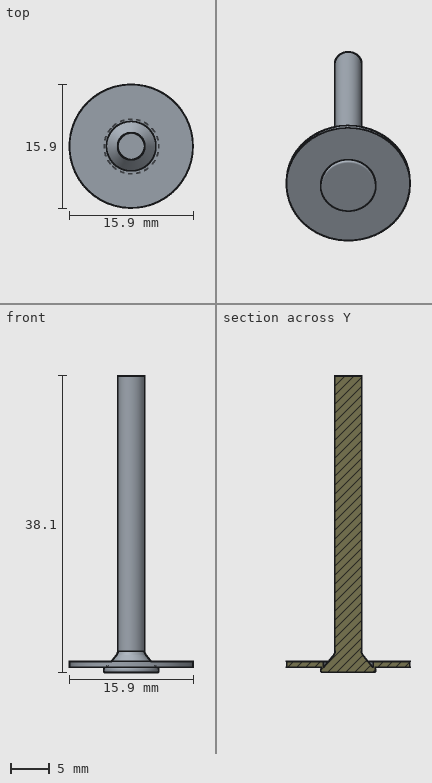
import cadquery as cq

total_height = 38.1
plate_radius = 15.9 / 2
plate_bottom = 0.7
plate_top = 1.45
foot_radius = 7.1 / 2
foot_rim_bottom = 0.3
foot_rim_top = 0.42
foot_lower_inset = 0.23
foot_upper_inset = 0.08
shaft_radius = 3.5 / 2
cone_base_radius = 6.35 / 2
cone_top_radius = 1.9
cone_top = 2.25
collar_radius = 1.8
collar_height = 2.48
neck_radius = 1.68
shaft_bottom = 2.75


def make_stud():
    """Revolve the foot, cone, collar and shaft about Z."""
    return (
        cq.Workplane("XZ")
        .moveTo(0, 0)
        .lineTo(foot_radius - foot_lower_inset, 0)
        .tangentArcPoint((foot_radius, foot_rim_bottom), relative=False)
        .lineTo(foot_radius, foot_rim_top)
        .lineTo(foot_radius - foot_upper_inset, plate_bottom)
        .lineTo(cone_base_radius, plate_bottom)
        .lineTo(cone_top_radius, cone_top)
        .lineTo(collar_radius, collar_height)
        .lineTo(neck_radius, shaft_bottom)
        .lineTo(shaft_radius, shaft_bottom)
        .lineTo(shaft_radius, total_height)
        .lineTo(0, total_height)
        .close()
        .revolve(360, (0, 0), (0, 1))
    )


def make_plate():
    """Flat round plate with an opening that leaves a gap around the cone."""
    return (
        cq.Workplane("XY")
        .workplane(offset=plate_bottom)
        .circle(plate_radius)
        .circle(cone_base_radius)
        .extrude(plate_top - plate_bottom)
    )


result = make_stud().union(make_plate())